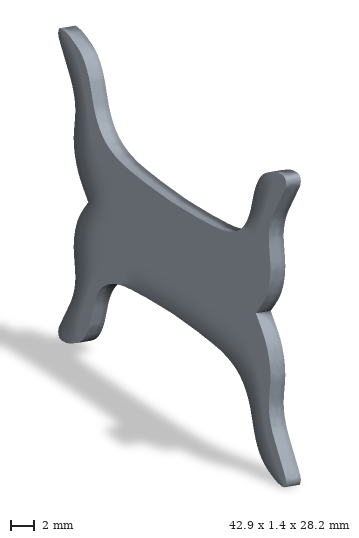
import cadquery as cq

LENGTH = 42.85
HEIGHT = 28.15
THICKNESS = 1.4

HALF_LENGTH = LENGTH / 2
HALF_HEIGHT = HEIGHT / 2

WAIST_HALF_HEIGHT = 5.0
NOTCH_X = 15.77

WAIST = (0, WAIST_HALF_HEIGHT)
NOTCH = (NOTCH_X, 0)

TIP_TOP = (20.65, HALF_HEIGHT)
TIP_SIDE = (HALF_LENGTH, 13.5)

QUARTER_EDGE = [
    WAIST,
    (6.85, 5.27),
    (10.95, 5.85),
    (13.3, 7.0),
    (14.6, 8.7),
    (15.6, 11.2),
    (17.05, 12.95),
    (18.65, 13.67),
    TIP_TOP,
    (21.25, 13.95),
    TIP_SIDE,
    (20.95, 12.55),
    (20.25, 11.57),
    (18.7, 9.4),
    (18.2, 7.7),
    (18.5, 4.95),
    (17.75, 2.25),
    NOTCH,
]

WAIST_DIRECTION = (1, 0)
NOTCH_DIRECTION = (-1, -1)


def quarter_plate():
    """Quarter of the plate on the +X, +Z side, centred in thickness on the XZ plane."""
    return (
        cq.Workplane("XZ", origin=(0, THICKNESS / 2, 0))
        .lineTo(*WAIST)
        .spline(QUARTER_EDGE[1:], tangents=[WAIST_DIRECTION, NOTCH_DIRECTION], includeCurrent=True)
        .close()
        .extrude(THICKNESS)
    )


quarter = quarter_plate()
half = quarter.union(quarter.mirror("XY"))
result = half.union(half.mirror("YZ")).clean()